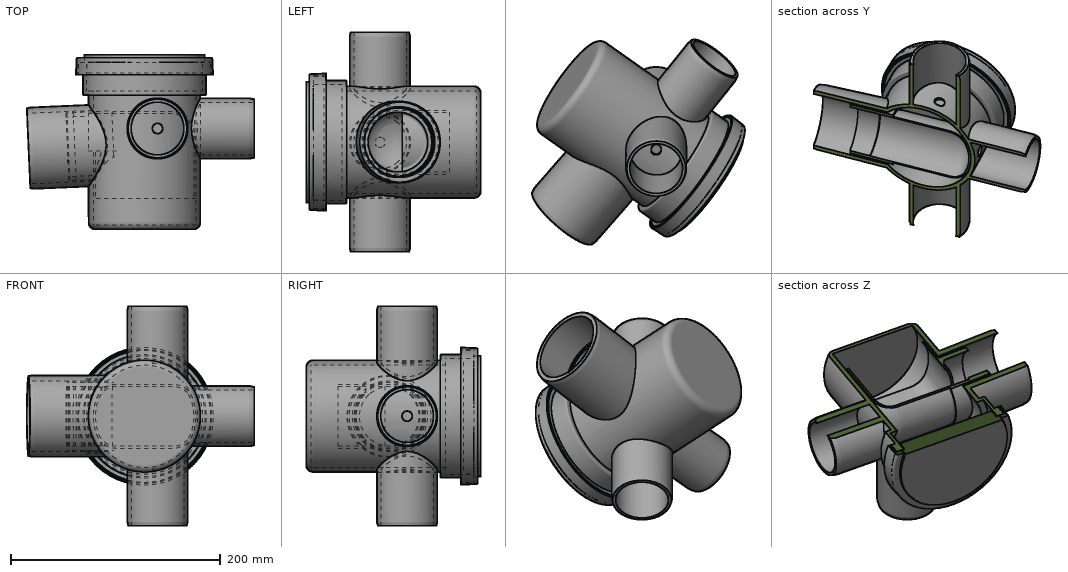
import cadquery as cq
import math


total_height = 167.0
barrel_dia = 107.0
barrel_bore_dia = 98.0
floor_thickness = (barrel_dia - barrel_bore_dia) / 2
base_fillet = 7.0
socket_dia = 118.0
socket_bore_dia = 110.9
socket_bottom = 128.3
socket_fillet = 1.4
socket_floor = socket_bottom + floor_thickness
flange_dia = 126.2
flange_bottom = 147.8
flange_top = 160.0

branch_dia = 58.0
branch_bore_dia = 50.4
branch_reach = 105.0
branch_height = 96.5
branch_offset = 12.5
branch_tip_inset = 1.0
branch_tip_length = 4.0
side_branch_tip_length = 4.7
pilot_dia = 9.8
pilot_depth = 3.2
pilot_floor = barrel_dia / 2 - pilot_depth

outlet_tilt = 2.5
outlet_dia = 78.0
outlet_bore_dia = 67.5
outlet_reach = 110.9
outlet_axis_height = 82.4
outlet_tip_inset = 0.75
outlet_tip_length = 4.0

collar_top = 164.2
collar_rim_dia = 131.5
collar_top_dia = 130.0
collar_fillet = 1.9
collar_bore_dia = 128.2
lid_dia = 115.5
lid_plug_dia = 110.5
lid_plug_bottom = 150.0

duct_width = 57.0
duct_wall = 2.0
duct_bottom = 30.0
duct_corner_radius = 17.5
weir_height = 75.3
spigot_dia = 65.0
spigot_start = 30.0
spigot_recess = 37.0
spigot_end = outlet_reach - spigot_recess
spigot_root_fillet = 2.4
seal_setback = 1.0
seal_length = 6.0


def along_y(dia, bottom, top):
    """Solid cylinder on the body axis."""
    plane = cq.Workplane("XZ", origin=(0, bottom, 0))
    return plane.circle(dia / 2).extrude(bottom - top)


def tilt_to_outlet(shape):
    """Move a shape built along local +Z so that it runs outwards along the outlet axis."""
    turned = shape.rotate((0, 0, 0), (0, 1, 0), -90).rotate((0, 0, 0), (0, 0, 1), outlet_tilt)
    return turned.translate((0, outlet_axis_height, 0))


def outlet_cylinder(dia, start, end):
    """Solid cylinder on the outlet axis between two distances from the body axis."""
    plane = cq.Workplane("XY", origin=(0, 0, start))
    return tilt_to_outlet(plane.circle(dia / 2).extrude(end - start))


def tapered_pipe(dia, reach, tip_inset, tip_length):
    """Solid pipe along +Z from the origin, with a slightly conical tip."""
    outline = [
        (0, 0),
        (dia / 2, 0),
        (dia / 2, reach - tip_length),
        (dia / 2 - tip_inset, reach),
        (0, reach),
    ]
    return cq.Workplane("XZ").polyline(outline).close().revolve(360, (0, 0, 0), (0, 1, 0))


def place_branch(shape, direction):
    """Turn a shape built along +Z to the up, down or side branch axis."""
    if direction == "side":
        return shape.rotate((0, 0, 0), (0, 1, 0), 90).translate((0, branch_height, 0))
    if direction == "down":
        shape = shape.rotate((0, 0, 0), (1, 0, 0), 180)
    return shape.translate((branch_offset, branch_height, 0))


def make_body():
    barrel = along_y(barrel_dia, 0, flange_bottom).faces("<Y").edges().fillet(base_fillet)
    socket = along_y(socket_dia, socket_bottom, flange_top).faces("<Y").edges().fillet(socket_fillet)
    body = barrel.union(socket).union(along_y(flange_dia, flange_bottom, flange_top))

    tip_lengths = {
        "up": branch_tip_length,
        "down": branch_tip_length,
        "side": side_branch_tip_length,
    }
    barrel_core = along_y(barrel_dia, 0, socket_bottom)
    for direction, tip_length in tip_lengths.items():
        pipe = tapered_pipe(branch_dia, branch_reach, branch_tip_inset, tip_length)
        body = body.union(place_branch(pipe, direction))
    outlet = tapered_pipe(outlet_dia, outlet_reach, outlet_tip_inset, outlet_tip_length)
    body = body.union(tilt_to_outlet(outlet))

    for direction in tip_lengths:
        bore = cq.Workplane("XY").circle(branch_bore_dia / 2).extrude(branch_reach)
        pilot_plane = cq.Workplane("XY", origin=(0, 0, pilot_floor))
        pilot = pilot_plane.circle(pilot_dia / 2).extrude(branch_reach - pilot_floor)
        body = body.cut(place_branch(bore, direction).cut(barrel_core))
        body = body.cut(place_branch(pilot, direction))

    body = body.cut(outlet_cylinder(outlet_bore_dia, 0, outlet_reach))
    body = body.cut(along_y(barrel_bore_dia, floor_thickness, socket_floor))
    return body.cut(along_y(socket_bore_dia, socket_floor, flange_top))


def make_collar():
    outline = [
        (collar_bore_dia / 2, flange_bottom),
        (collar_rim_dia / 2, flange_bottom),
        (collar_top_dia / 2, collar_top),
        (lid_dia / 2, collar_top),
        (lid_dia / 2, flange_top),
        (collar_bore_dia / 2, flange_top),
    ]
    ring = cq.Workplane("XY").polyline(outline).close().revolve(360, (0, 0, 0), (0, 1, 0))
    return ring.faces(">Y").edges(cq.selectors.RadiusNthSelector(-1)).fillet(collar_fillet)


def make_lid():
    plug = along_y(lid_plug_dia, lid_plug_bottom, flange_top)
    return plug.union(along_y(lid_dia, flange_top, total_height))


def duct_section(width, end_dia, corner_radius):
    """Half section of the duct: end arcs follow the barrel, tangent corner arcs, one flat side."""
    half = width / 2
    end_radius = end_dia / 2
    corner_distance = end_radius - corner_radius
    tangent_angle = math.asin((half - corner_radius) / corner_distance)
    corner_x = corner_distance * math.cos(tangent_angle)

    def on_end(angle):
        return end_radius * math.cos(angle), end_radius * math.sin(angle)

    def on_corner(angle):
        across = half - corner_radius + corner_radius * math.sin(angle)
        return corner_x + corner_radius * math.cos(angle), across

    def mirrored(point):
        return -point[0], point[1]

    end_middle = on_end(tangent_angle / 2)
    tangent_point = on_end(tangent_angle)
    corner_middle = on_corner((tangent_angle + math.pi / 2) / 2)
    return (
        cq.Workplane("XY")
        .moveTo(end_radius, 0)
        .threePointArc(end_middle, tangent_point)
        .threePointArc(corner_middle, (corner_x, half))
        .lineTo(-corner_x, half)
        .threePointArc(mirrored(corner_middle), mirrored(tangent_point))
        .threePointArc(mirrored(end_middle), (-end_radius, 0))
        .close()
    )


def straight_duct(size, bottom, top):
    """Extrude the half section along Y between two heights and mirror it to the full width."""
    side = duct_section(*size).extrude(top - bottom)
    duct = side.union(side.mirror("XZ"))
    return duct.rotate((0, 0, 0), (1, 0, 0), -90).translate((0, bottom, 0))


def domed_duct(size):
    """Straight duct whose top is a dome, the half section turned about the outlet height."""
    dome = duct_section(*size).revolve(360, (0, 0, 0), (1, 0, 0))
    dome = dome.translate((0, outlet_axis_height, 0))
    return straight_duct(size, duct_bottom, outlet_axis_height).union(dome)


def weir_opening():
    """Arch above the weir, as wide as the duct, running inwards from the barrel surface."""
    half = duct_width / 2
    return (
        cq.Workplane("YZ", origin=(-barrel_dia / 2, 0, 0))
        .moveTo(weir_height, -half)
        .lineTo(outlet_axis_height, -half)
        .threePointArc((outlet_axis_height + half, 0), (outlet_axis_height, half))
        .lineTo(weir_height, half)
        .close()
        .extrude(barrel_dia / 2)
    )


def make_insert():
    inner_end_dia = barrel_bore_dia - 2 * duct_wall
    outer_width = duct_width + 2 * duct_wall
    inner_size = (duct_width, inner_end_dia, duct_corner_radius)
    outer_size = (outer_width, barrel_bore_dia, duct_corner_radius + duct_wall)

    spigot = outlet_cylinder(spigot_dia, spigot_start, spigot_end)
    insert = domed_duct(outer_size).union(spigot).cut(domed_duct(inner_size))

    front_wall = straight_duct(outer_size, duct_bottom, socket_bottom)
    bore = outlet_cylinder(duct_width, 0, outlet_reach).cut(front_wall).solids("<X")
    root_box = cq.selectors.BoxSelector(
        (-barrel_dia / 2, 0, -barrel_dia / 2),
        (0, total_height, barrel_dia / 2),
    )
    bore = bore.edges("not %LINE").edges(root_box).fillet(spigot_root_fillet)
    return insert.cut(bore).cut(weir_opening())


def make_seal():
    front = spigot_end - seal_setback
    ring = outlet_cylinder(outlet_bore_dia, front - seal_length, front)
    return ring.cut(outlet_cylinder(spigot_dia, 0, front))


body = make_body()
collar = make_collar()
lid = make_lid()
insert = make_insert()
seal = make_seal()

bodies = [body, collar, lid, insert, seal]
result = cq.Compound.makeCompound([part.solids().val() for part in bodies])